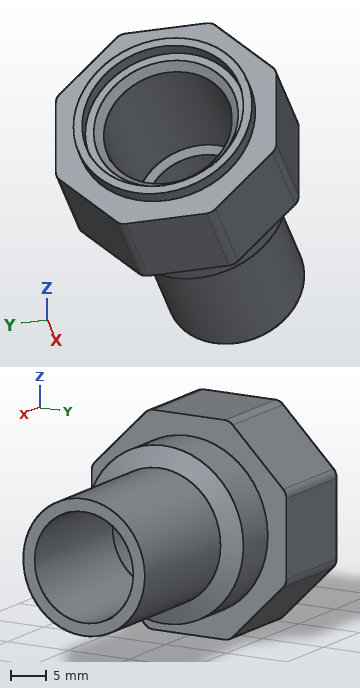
import cadquery as cq
import math

length = 45.0
nut_start = 2.02
nut_end = 15.98
collar_end = 22.72
outer_taper_length = 1.3
counterbore_depth = 2.02
bore_step = 22.72

nut_across_flats = 32.0
nut_corner_radius = 1.85
collar_radius = 12.95
tube_radius = 10.0
counterbore_radius = 11.7
seat_radius = 10.5
wide_bore_radius = 9.3
tube_bore_radius = 8.1

lead_in_end = counterbore_depth + seat_radius - wide_bore_radius
inner_taper_lean = math.radians(30)
inner_taper_length = (wide_bore_radius - tube_bore_radius) * math.tan(inner_taper_lean)


def revolve_profile(points):
    """Revolve an outline of (x, radius) points about the X axis."""
    return cq.Workplane("XY").polyline(points).close().revolve(360, (0, 0, 0), (1, 0, 0))


def make_nut():
    """Regular octagon with flats square to Y and Z and rounded corners."""
    sides = 8
    across_corners = nut_across_flats / math.cos(math.pi / sides)
    return (
        cq.Workplane("YZ", origin=(nut_start, 0, 0))
        .transformed(rotate=(0, 0, 180 / sides))
        .polygon(sides, across_corners)
        .extrude(nut_end - nut_start)
        .edges("|X")
        .fillet(nut_corner_radius)
    )


body = revolve_profile([
    (0, 0),
    (0, collar_radius),
    (collar_end, collar_radius),
    (collar_end + outer_taper_length, tube_radius),
    (length, tube_radius),
    (length, 0),
])

passage = revolve_profile([
    (0, 0),
    (0, counterbore_radius),
    (counterbore_depth, counterbore_radius),
    (counterbore_depth, seat_radius),
    (lead_in_end, wide_bore_radius),
    (bore_step, wide_bore_radius),
    (bore_step + inner_taper_length, tube_bore_radius),
    (length, tube_bore_radius),
    (length, 0),
])

result = body.union(make_nut()).cut(passage)